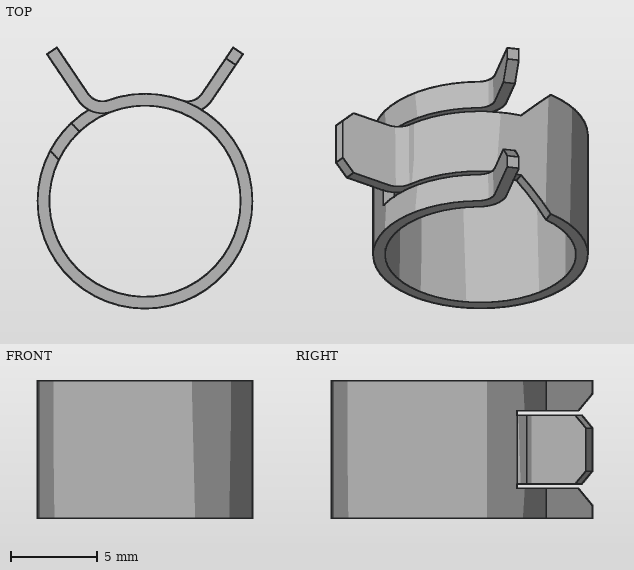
import cadquery as cq
import math

outer_diameter = 12.5
thickness = 0.7
width = 8.0
overall_length = 15.18

window_end_angle = 46.7
tongue_width = 4.0
window_width = 4.5

fork_bend_angle = 110.0
bend_radius = 1.0
tab_lean = 34.0
fork_chamfer = 1.0
tongue_chamfer = 0.76

outer_radius = outer_diameter / 2
inner_radius = outer_radius - thickness
tab_tip_y = overall_length - outer_radius
tongue_root_angle = 180 - window_end_angle
tongue_bend_angle = 180 - fork_bend_angle
leg_width = (width - window_width) / 2
taper_height = (width - tongue_width) / 2
taper_length = taper_height

lean = math.radians(tab_lean)
tab_direction = cq.Vector(-math.sin(lean), math.cos(lean))


def polar(radius, degrees, center=(0, 0)):
    angle = math.radians(degrees)
    return (center[0] + radius * math.cos(angle), center[1] + radius * math.sin(angle))


def wedge(start_angle, end_angle, z_bottom, z_top):
    """Pie-shaped block around the ring axis, reaching past the outside of the ring."""
    reach = outer_diameter
    middle_angle = (start_angle + end_angle) / 2
    return (
        cq.Workplane("XY", origin=(0, 0, z_bottom))
        .lineTo(*polar(reach, start_angle))
        .threePointArc(polar(reach, middle_angle), polar(reach, end_angle))
        .close()
        .extrude(z_top - z_bottom)
    )


def taper_corner():
    """Upper corner removed where the band narrows to the tongue."""
    taper_plane = cq.Plane(
        origin=(0, 0, 0),
        xDir=(*polar(1, tongue_root_angle + 90), 0),
        normal=(*polar(1, tongue_root_angle), 0),
    )
    return (
        cq.Workplane(taper_plane)
        .polyline([(0, tongue_width / 2), (taper_length, width / 2), (0, width / 2)])
        .close()
        .extrude(outer_diameter)
    )


def make_ring():
    """Rolled part of the band: full width at the back, tongue between fork legs at +Y."""
    ring = (
        cq.Workplane("XY", origin=(0, 0, -width / 2))
        .circle(outer_radius)
        .circle(inner_radius)
        .extrude(width)
    )
    ring = ring.cut(wedge(window_end_angle, tongue_bend_angle, -window_width / 2, window_width / 2))

    slit = wedge(tongue_bend_angle, fork_bend_angle, tongue_width / 2, window_width / 2)
    leg_end = wedge(fork_bend_angle, tongue_root_angle, tongue_width / 2, width / 2)
    for upper_cut in (slit, leg_end, taper_corner()):
        ring = ring.cut(upper_cut).cut(upper_cut.mirror("XY"))
    return ring


def make_tab(z_bottom, tab_width, chamfered_edges, chamfer):
    """Bend that leaves the ring tangentially plus a straight tab leaning to -X, tip edges chamfered."""
    full_radius = bend_radius + thickness
    bend_center = polar(outer_radius + bend_radius, fork_bend_angle)
    bend_start = fork_bend_angle + 180
    bend_end = 180 + tab_lean
    bend_middle = (bend_start + bend_end) / 2
    hollow_end = polar(bend_radius, bend_end, bend_center)
    full_end = polar(full_radius, bend_end, bend_center)
    straight_length = (tab_tip_y - hollow_end[1]) / tab_direction.y
    straight = tab_direction * straight_length

    tab = (
        cq.Workplane("XY", origin=(0, 0, z_bottom))
        .moveTo(*polar(outer_radius, fork_bend_angle))
        .threePointArc(polar(bend_radius, bend_middle, bend_center), hollow_end)
        .line(straight.x, straight.y)
        .lineTo(full_end[0] + straight.x, full_end[1] + straight.y)
        .lineTo(*full_end)
        .threePointArc(
            polar(full_radius, bend_middle, bend_center),
            polar(inner_radius, fork_bend_angle),
        )
        .close()
        .extrude(tab_width)
    )
    tip_face = cq.DirectionMinMaxSelector(tab_direction, True)
    return tab.faces(tip_face).edges(chamfered_edges).chamfer(chamfer)


upper_fork_tab = make_tab(window_width / 2, leg_width, "<Z", fork_chamfer)
lower_fork_tab = upper_fork_tab.mirror("XY")
tongue_tab = make_tab(-tongue_width / 2, tongue_width, "<Z or >Z", tongue_chamfer).mirror("YZ")

result = make_ring().union(upper_fork_tab).union(lower_fork_tab).union(tongue_tab)